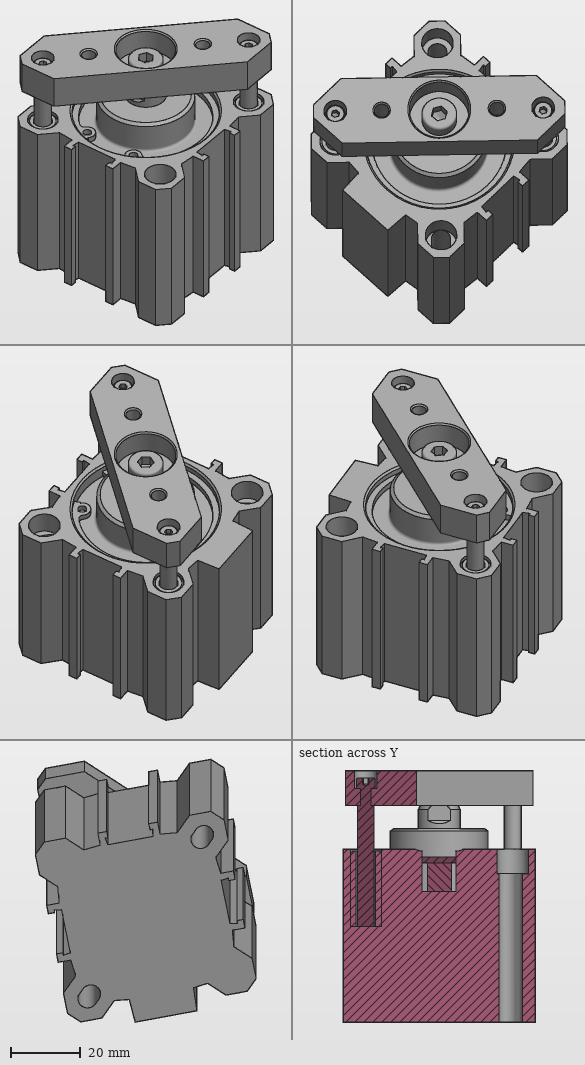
import cadquery as cq
import math

TOTAL_HEIGHT = 72.0
PLATE_THICKNESS = 10.0
PLATE_BOTTOM = TOTAL_HEIGHT - PLATE_THICKNESS
HOUSING_HEIGHT = 49.5
HOUSING_HALF = 27.5
CORNER_OFFSET = 21.0
MOUNT_CORNERS = [(-1, 1), (1, -1)]
GUIDE_CORNERS = [(-1, -1), (1, 1)]

CORNER_FLAT_OUTER = 24.3
CORNER_FLAT_INNER = 18.1
SLOPE_FOOT_OUT = 23.05
SLOPE_FOOT_ALONG = CORNER_FLAT_INNER - (HOUSING_HALF - SLOPE_FOOT_OUT)
WALL_OUT = 23.25
RAIL_FOOT_OUT = 23.55
RAIL_TIP_OUT = 27.2
RAIL_LIP_OUT = 25.35
RAIL_OUTER = 8.7
RAIL_LIP = 6.1
RAIL_UNDERCUT = 6.9
RAIL_ROOT = 6.55
PORT_BLOCK_OUT = 30.5
PORT_BLOCK_FOOT_HALF = 9.35
PORT_BLOCK_TIP_HALF = 9.0

HEAD_BORE_DIAMETER = 42.2
HEAD_BORE_CHAMFER = 0.6
MOUNT_COUNTERBORE_DIAMETER = 9.0
MOUNT_COUNTERBORE_DEPTH = 7.0
MOUNT_SLOT_WIDTH = 5.5
MOUNT_SLOT_SHIFT = 1.2

COVER_DIAMETER = 41.7
COVER_FACE = 45.65
COVER_THICKNESS = 8.2
COVER_SEAT = COVER_FACE - COVER_THICKNESS
BOSS_DIAMETER = 28.1
BOSS_TOP = 55.45
BOSS_CHAMFER_HEIGHT = 0.7
BOSS_CHAMFER_SETBACK = 1.0
BOSS_FILLET = 0.9

RING_THICKNESS = 1.7
RING_INNER_RADIUS = 19.2
RING_GAP_ANGLE = -91.8
EAR_ANGLE = 27.6
EAR_RADIUS = 2.45
EAR_HOLE_DIAMETER = 2.5
EAR_BLEND_RADIUS = 1.45
EAR_CENTRE_RADIUS = 18.3

BUSHING_DIAMETER = 8.8
BUSHING_BORE = 5.5
BUSHING_LENGTH = 21.6
BUSHING_CHAMFER = 0.6
BUSHING_RECESS = 0.5
BUSHING_TOP = HOUSING_HEIGHT - BUSHING_RECESS
BUSHING_SEAT = BUSHING_TOP - BUSHING_LENGTH

GUIDE_ROD_DIAMETER = 5.0
GUIDE_NECK_DIAMETER = 3.0
GUIDE_HEAD_DIAMETER = 5.5
GUIDE_HEAD_HEIGHT = 3.0
GUIDE_HEAD_CHAMFER = 0.3
GUIDE_HEAD_SINK = 2.0
GUIDE_SOCKET_WIDTH = 2.0
GUIDE_SOCKET_DEPTH = 1.7
GUIDE_COUNTERBORE_DIAMETER = 6.5
GUIDE_HEAD_SEAT = TOTAL_HEIGHT - GUIDE_HEAD_SINK - GUIDE_HEAD_HEIGHT

ROD_DIAMETER = 12.0
ROD_TIP_SETBACK = 0.5
ROD_TIP_LENGTH = 1.15
FLATS_WIDTH = 10.1
FLATS_BOTTOM = 57.8
ROD_NECK_DIAMETER = 6.0
ROD_HEAD_DIAMETER = 10.0
ROD_HEAD_FILLET = 0.7
ROD_HEAD_HEIGHT = 4.3
ROD_SOCKET_WIDTH = 4.0
ROD_SOCKET_DEPTH = 3.0

PLATE_SIDE = 26.85
PLATE_WIDTH = 20.0
PLATE_LENGTH = 72.0
PLATE_RECESS_DIAMETER = 17.1
PLATE_RECESS_CHAMFER = 0.4
PLATE_RECESS_DEPTH = 7.5
PLATE_RECESS_FLOOR = TOTAL_HEIGHT - PLATE_RECESS_DEPTH
THREAD_HOLE_OFFSET = 11.7
THREAD_HOLE_DIAMETER = 4.1
THREAD_HOLE_CHAMFER = 0.4

DRILL_POINT_ANGLE = 120.0


def cylinder(diameter, bottom, top, x=0.0, y=0.0):
    """Vertical cylinder between two heights."""
    return cq.Workplane("XY", origin=(x, y, bottom)).circle(diameter / 2).extrude(top - bottom)


def guide_positions():
    return [(sx * CORNER_OFFSET, sy * CORNER_OFFSET) for sx, sy in GUIDE_CORNERS]


def hex_socket(width, depth, top):
    """Hexagonal socket ending in a drill point."""
    corner_diameter = width / math.cos(math.radians(30))
    cone_height = corner_diameter / 2 / math.tan(math.radians(DRILL_POINT_ANGLE / 2))
    hexagon = cq.Workplane("XY", origin=(0, 0, top)).polygon(6, corner_diameter)
    hexagon = hexagon.extrude(-depth - cone_height)
    drill = (
        cq.Workplane("XZ")
        .moveTo(0, top)
        .lineTo(corner_diameter / 2, top)
        .lineTo(corner_diameter / 2, top - depth)
        .lineTo(0, top - depth - cone_height)
        .close()
        .revolve(360, (0, 0), (0, 1))
    )
    return hexagon.intersect(drill)


def railed_side():
    """Half of a railed side as (along, out) points, from the corner to the side's middle."""
    return [
        (SLOPE_FOOT_ALONG, SLOPE_FOOT_OUT),
        (RAIL_OUTER, RAIL_FOOT_OUT),
        (RAIL_OUTER, RAIL_TIP_OUT),
        (RAIL_LIP, RAIL_TIP_OUT),
        (RAIL_LIP, RAIL_LIP_OUT),
        (RAIL_UNDERCUT, RAIL_LIP_OUT),
        (RAIL_ROOT, WALL_OUT),
    ]


def port_side():
    """Half of the port side as (along, out) points, from the corner to the side's middle."""
    return [
        (SLOPE_FOOT_ALONG, SLOPE_FOOT_OUT),
        (PORT_BLOCK_FOOT_HALF, RAIL_FOOT_OUT),
        (PORT_BLOCK_TIP_HALF, PORT_BLOCK_OUT),
    ]


def housing_outline():
    """Closed outline, counter-clockwise, made of the +X, +Y, -X and -Y sides in turn."""
    corner = [(CORNER_FLAT_OUTER, HOUSING_HALF), (CORNER_FLAT_INNER, HOUSING_HALF)]
    points = []
    for quarter, middle in enumerate([railed_side(), port_side(), railed_side(), railed_side()]):
        half = corner + middle
        side = [(-along, out) for along, out in half]
        side += [(along, out) for along, out in reversed(half)]
        angle = math.radians(90 * quarter)
        for along, out in side:
            x = out * math.cos(angle) - along * math.sin(angle)
            y = out * math.sin(angle) + along * math.cos(angle)
            points.append((x, y))
    return points


def mount_hole(sx, sy):
    """Counterbore over a through slot that reaches towards the axis."""
    x, y = sx * CORNER_OFFSET, sy * CORNER_OFFSET
    counterbore_floor = HOUSING_HEIGHT - MOUNT_COUNTERBORE_DEPTH
    counterbore = cylinder(MOUNT_COUNTERBORE_DIAMETER, counterbore_floor, HOUSING_HEIGHT, x, y)
    half_shift = MOUNT_SLOT_SHIFT / 2
    slot = (
        cq.Workplane("XY", origin=(x - sx * half_shift, y - sy * half_shift, 0))
        .slot2D(MOUNT_SLOT_WIDTH + math.sqrt(2) * MOUNT_SLOT_SHIFT, MOUNT_SLOT_WIDTH, 45 * sx * sy)
        .extrude(counterbore_floor)
    )
    return counterbore.union(slot)


def make_housing():
    body = cq.Workplane("XY").polyline(housing_outline()).close().extrude(HOUSING_HEIGHT)
    body = body.cut(cylinder(HEAD_BORE_DIAMETER, COVER_SEAT, HOUSING_HEIGHT))
    body = body.faces(">Z").edges("%CIRCLE").chamfer(HEAD_BORE_CHAMFER)
    for sx, sy in MOUNT_CORNERS:
        body = body.cut(mount_hole(sx, sy))
    for x, y in guide_positions():
        body = body.cut(cylinder(BUSHING_DIAMETER, BUSHING_SEAT, HOUSING_HEIGHT, x, y))
    return body


def make_head_cover():
    """Flange and boss turned as one, with a round at the boss's foot and a bore for the piston rod."""
    bore_radius = ROD_DIAMETER / 2
    boss_radius = BOSS_DIAMETER / 2
    flange_radius = COVER_DIAMETER / 2
    fillet_sag = BOSS_FILLET * (1 - math.sqrt(0.5))
    return (
        cq.Workplane("XZ")
        .moveTo(bore_radius, COVER_SEAT)
        .lineTo(flange_radius, COVER_SEAT)
        .lineTo(flange_radius, COVER_FACE)
        .lineTo(boss_radius + BOSS_FILLET, COVER_FACE)
        .threePointArc(
            (boss_radius + fillet_sag, COVER_FACE + fillet_sag),
            (boss_radius, COVER_FACE + BOSS_FILLET),
        )
        .lineTo(boss_radius, BOSS_TOP - BOSS_CHAMFER_HEIGHT)
        .lineTo(boss_radius - BOSS_CHAMFER_SETBACK, BOSS_TOP)
        .lineTo(bore_radius, BOSS_TOP)
        .close()
        .revolve(360, (0, 0), (0, 1))
    )


def make_retaining_ring():
    """Open ring built with its gap towards +X, then turned to its place."""
    top = COVER_FACE + RING_THICKNESS
    ring = cylinder(HEAD_BORE_DIAMETER, COVER_FACE, top)
    ring = ring.cut(cylinder(2 * RING_INNER_RADIUS, COVER_FACE, top))

    ear_x = EAR_CENTRE_RADIUS * math.cos(math.radians(EAR_ANGLE))
    ear_y = EAR_CENTRE_RADIUS * math.sin(math.radians(EAR_ANGLE))
    for side in (-1, 1):
        ring = ring.union(cylinder(2 * EAR_RADIUS, COVER_FACE, top, ear_x, side * ear_y))
    half_gap = math.radians(EAR_ANGLE) - math.asin(EAR_RADIUS / EAR_CENTRE_RADIUS)
    reach = HEAD_BORE_DIAMETER
    wedge_half = reach * math.tan(half_gap)
    wedge = (
        cq.Workplane("XY", origin=(0, 0, COVER_FACE))
        .polyline([(0, 0), (reach, -wedge_half), (reach, wedge_half)])
        .close()
        .extrude(RING_THICKNESS)
    )
    ring = ring.cut(wedge)

    cosine = (EAR_CENTRE_RADIUS**2 + RING_INNER_RADIUS**2 - EAR_RADIUS**2) / (
        2 * EAR_CENTRE_RADIUS * RING_INNER_RADIUS
    )
    corner_angle = math.radians(EAR_ANGLE) + math.acos(cosine)
    for side in (-1, 1):
        corner = (
            RING_INNER_RADIUS * math.cos(corner_angle),
            side * RING_INNER_RADIUS * math.sin(corner_angle),
            COVER_FACE + RING_THICKNESS / 2,
        )
        ring = ring.edges(cq.selectors.NearestToPointSelector(corner)).fillet(EAR_BLEND_RADIUS)
        ring = ring.cut(cylinder(EAR_HOLE_DIAMETER, COVER_FACE, top, ear_x, side * ear_y))
    return ring.rotate((0, 0, 0), (0, 0, 1), RING_GAP_ANGLE)


def make_guide_bushing(x, y):
    bushing = cylinder(BUSHING_DIAMETER, BUSHING_SEAT, BUSHING_TOP, x, y)
    bushing = bushing.faces(">Z").chamfer(BUSHING_CHAMFER)
    return bushing.cut(cylinder(BUSHING_BORE, BUSHING_SEAT, BUSHING_TOP, x, y))


def make_guide_rod(x, y):
    head_top = GUIDE_HEAD_SEAT + GUIDE_HEAD_HEIGHT
    shaft = cylinder(GUIDE_ROD_DIAMETER, BUSHING_SEAT, PLATE_BOTTOM)
    neck = cylinder(GUIDE_NECK_DIAMETER, PLATE_BOTTOM, GUIDE_HEAD_SEAT)
    head = cylinder(GUIDE_HEAD_DIAMETER, GUIDE_HEAD_SEAT, head_top).faces(">Z").chamfer(GUIDE_HEAD_CHAMFER)
    rod = shaft.union(neck).union(head)
    rod = rod.cut(hex_socket(GUIDE_SOCKET_WIDTH, GUIDE_SOCKET_DEPTH, head_top))
    return rod.translate((x, y, 0))


def wrench_flat(side):
    """Cut for one flat facing +Y or -Y, with a 45 degree run-out at its foot."""
    flat = FLATS_WIDTH / 2
    outside = ROD_DIAMETER / 2
    run_out = outside - flat
    profile = [
        (side * flat, PLATE_BOTTOM),
        (side * flat, FLATS_BOTTOM),
        (side * outside, FLATS_BOTTOM - run_out),
        (side * outside, PLATE_BOTTOM),
    ]
    return cq.Workplane("YZ").polyline(profile).close().extrude(outside, both=True)


def make_piston_rod():
    head_top = PLATE_RECESS_FLOOR + ROD_HEAD_HEIGHT
    shaft = cylinder(ROD_DIAMETER, COVER_SEAT, PLATE_BOTTOM)
    shaft = shaft.faces(">Z").chamfer(ROD_TIP_LENGTH, ROD_TIP_SETBACK)
    for side in (-1, 1):
        shaft = shaft.cut(wrench_flat(side))
    neck = cylinder(ROD_NECK_DIAMETER, PLATE_BOTTOM, PLATE_RECESS_FLOOR)
    head = cylinder(ROD_HEAD_DIAMETER, PLATE_RECESS_FLOOR, head_top)
    head = head.faces(">Z").edges().fillet(ROD_HEAD_FILLET)
    rod = shaft.union(neck).union(head)
    return rod.cut(hex_socket(ROD_SOCKET_WIDTH, ROD_SOCKET_DEPTH, head_top))


def make_plate():
    """Diagonal bar clipped by a square, with its recess and holes."""
    square = cq.Workplane("XY", origin=(0, 0, PLATE_BOTTOM)).rect(2 * PLATE_SIDE, 2 * PLATE_SIDE)
    bar = cq.Workplane("XY", origin=(0, 0, PLATE_BOTTOM)).rect(PLATE_LENGTH, PLATE_WIDTH)
    bar = bar.extrude(PLATE_THICKNESS).rotate((0, 0, 0), (0, 0, 1), 45)
    plate = square.extrude(PLATE_THICKNESS).intersect(bar)

    thread_points = [(sx * THREAD_HOLE_OFFSET, sy * THREAD_HOLE_OFFSET) for sx, sy in GUIDE_CORNERS]
    recess = cylinder(PLATE_RECESS_DIAMETER, PLATE_RECESS_FLOOR, TOTAL_HEIGHT)
    plate = plate.cut(recess).faces(">Z").edges("%CIRCLE").chamfer(PLATE_RECESS_CHAMFER)
    for x, y in thread_points:
        plate = plate.cut(cylinder(THREAD_HOLE_DIAMETER, PLATE_BOTTOM, TOTAL_HEIGHT, x, y))
        rim = cq.selectors.NearestToPointSelector((x, y, TOTAL_HEIGHT))
        plate = plate.edges(rim).chamfer(THREAD_HOLE_CHAMFER)
    for x, y in guide_positions():
        plate = plate.cut(cylinder(GUIDE_NECK_DIAMETER, PLATE_BOTTOM, GUIDE_HEAD_SEAT, x, y))
        plate = plate.cut(cylinder(GUIDE_COUNTERBORE_DIAMETER, GUIDE_HEAD_SEAT, TOTAL_HEIGHT, x, y))
    return plate.cut(cylinder(ROD_NECK_DIAMETER, PLATE_BOTTOM, PLATE_RECESS_FLOOR))


housing = make_housing()
head_cover = make_head_cover()
retaining_ring = make_retaining_ring()
piston_rod = make_piston_rod()
plate = make_plate()
guide_bushings = [make_guide_bushing(x, y) for x, y in guide_positions()]
guide_rods = [make_guide_rod(x, y) for x, y in guide_positions()]

result = cq.Compound.makeCompound(
    [
        housing.val(),
        head_cover.val(),
        retaining_ring.val(),
        piston_rod.val(),
        plate.val(),
        *[bushing.val() for bushing in guide_bushings],
        *[rod.val() for rod in guide_rods],
    ]
)